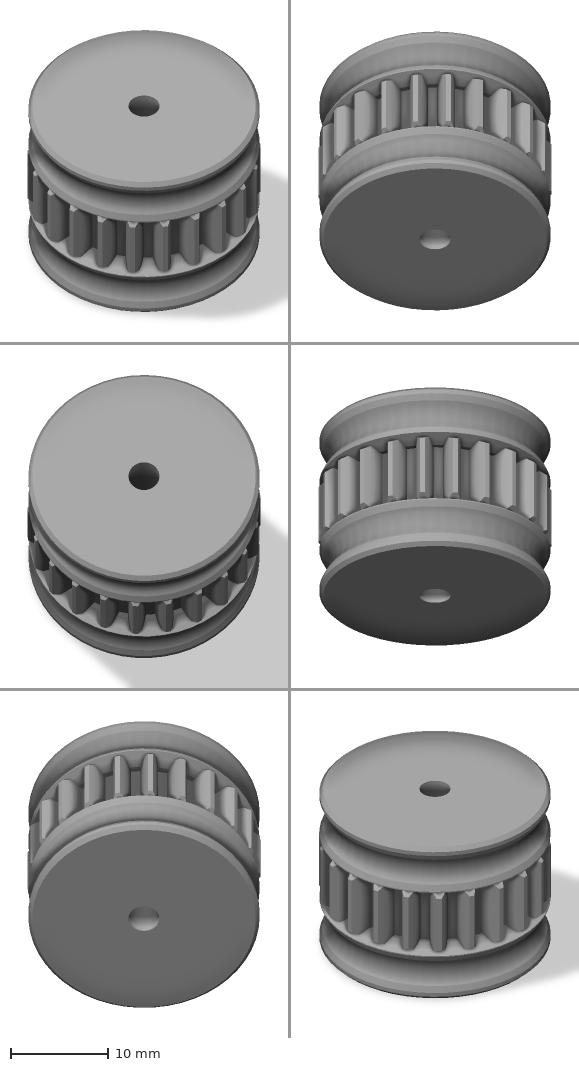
import cadquery as cq
import math

height = 18.25
flange_diameter = 23.83
bore_diameter = 3.2

end_chamfer = 0.4
groove_start = 0.86
groove_end = 5.18
rim_land = 0.12
groove_floor_radius = 10.92
groove_arc_edge_radius = 11.6
groove_arc_half_height = 1.5

tooth_count = 22
tip_radius = 12.0
tip_half_width = 0.26
flank_mid_radius = 11.33
flank_mid_half_width = 0.6
root_radius = 9.75
root_half_width = 0.9
band_height = 6.25
tooth_end_radius = 11.33
tooth_end_rise = 0.4
cone_inner_radius = 10.3
tooth_root_depth = 0.95

flange_radius = flange_diameter / 2
middle = height / 2
band_top = middle + band_height / 2
band_bottom = middle - band_height / 2
tooth_top = band_top + tooth_end_rise
tooth_bottom = band_bottom - tooth_end_rise


def make_flanged_end():
    """Grooved upper end, revolved about Z, down to the toothed band."""
    groove_center = height - (groove_start + groove_end) / 2
    profile = (
        cq.Workplane("XZ")
        .moveTo(0, middle)
        .lineTo(root_radius, middle)
        .lineTo(root_radius, band_top)
        .lineTo(cone_inner_radius, band_top)
        .lineTo(flange_radius, height - groove_end - rim_land)
        .lineTo(flange_radius, height - groove_end)
        .lineTo(groove_arc_edge_radius, groove_center - groove_arc_half_height)
        .threePointArc(
            (groove_floor_radius, groove_center),
            (groove_arc_edge_radius, groove_center + groove_arc_half_height),
        )
        .lineTo(flange_radius, height - groove_start)
        .lineTo(flange_radius, height - end_chamfer)
        .lineTo(flange_radius - end_chamfer, height)
        .lineTo(0, height)
        .close()
    )
    return profile.revolve(360, (0, 0, 0), (0, 1, 0))


def on_circle(radius, half_width):
    """Point at a sideways offset from the tooth center line, on a circle about the axis."""
    return half_width, -math.sqrt(radius**2 - half_width**2)


def make_tooth():
    """One tooth pointing toward -Y, with bulging flanks and square ends."""
    tip_x, tip_y = on_circle(tip_radius, tip_half_width)
    mid_x, mid_y = on_circle(flank_mid_radius, flank_mid_half_width)
    root_x, root_y = on_circle(root_radius, root_half_width)
    return (
        cq.Workplane("XY")
        .workplane(offset=tooth_bottom)
        .moveTo(0, root_y + tooth_root_depth)
        .lineTo(root_x, root_y)
        .threePointArc((mid_x, mid_y), (tip_x, tip_y))
        .threePointArc((0, -tip_radius), (-tip_x, tip_y))
        .threePointArc((-mid_x, mid_y), (-root_x, root_y))
        .close()
        .extrude(tooth_top - tooth_bottom)
    )


def make_tooth_envelope():
    """Turned blank that bevels both ends of every tooth."""
    return (
        cq.Workplane("XZ")
        .moveTo(0, tooth_bottom)
        .lineTo(tooth_end_radius, tooth_bottom)
        .lineTo(tip_radius, band_bottom)
        .lineTo(tip_radius, band_top)
        .lineTo(tooth_end_radius, tooth_top)
        .lineTo(0, tooth_top)
        .close()
        .revolve(360, (0, 0, 0), (0, 1, 0))
    )


upper_end = make_flanged_end()
lower_end = upper_end.mirror("XY", (0, 0, middle))
body = upper_end.union(lower_end)

tooth = make_tooth().intersect(make_tooth_envelope())
for index in range(tooth_count):
    body = body.union(tooth.rotate((0, 0, 0), (0, 0, 1), index * 360 / tooth_count))

bore = cq.Workplane("XY").circle(bore_diameter / 2).extrude(height)
result = body.cut(bore)